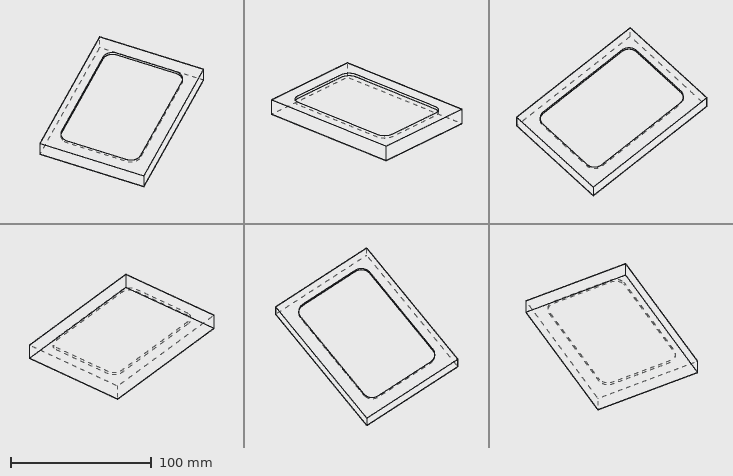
import cadquery as cq

plate_width = 80.0
plate_length = 110.0
plate_thickness = 11.5

pocket_margin = 9.7
pocket_width = plate_width - 2 * pocket_margin
pocket_length = plate_length - 2 * pocket_margin
pocket_corner_radius = 7.4
pocket_depth = 2.0


def make_plate():
    """Rectangular plate resting on Z = 0."""
    return cq.Workplane("XY").box(plate_width, plate_length, plate_thickness, centered=(True, True, False))


def make_pocket():
    """Volume removed by the pocket, with rounded upright corners."""
    return (
        cq.Workplane("XY", origin=(0, 0, plate_thickness - pocket_depth))
        .rect(pocket_width, pocket_length)
        .extrude(pocket_depth)
        .edges("|Z")
        .fillet(pocket_corner_radius)
    )


result = make_plate().cut(make_pocket())